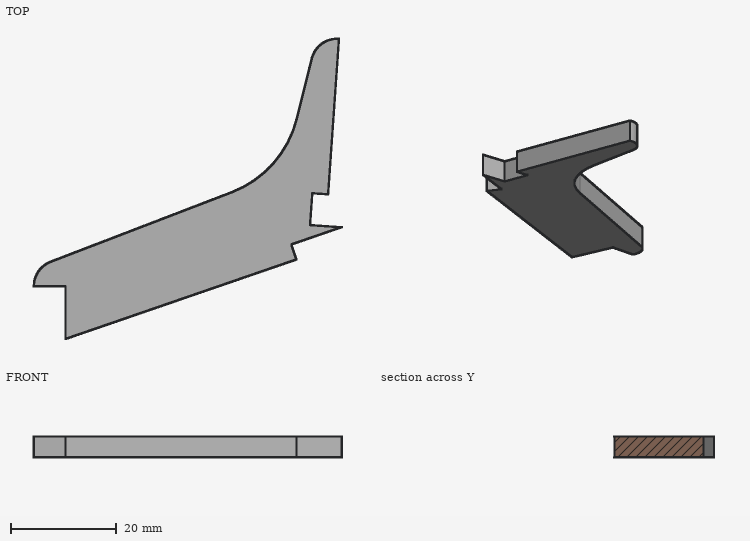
import cadquery as cq
import math

thickness = 4.0
heel_tab = 6.0
heel_depth = 10.0
base_angle = 19.0
base_length = 46.28
step_depth = 3.0
spike_length = 10.1
edge_lean = 4.0
slot_width = 6.0
slot_depth = 3.0
spike_overhang = 6.0
outer_edge_length = 29.57
tip_radius = 5.0
inner_bend_radius = 20.0
lower_arm_angle = 21.0
upright_arm_angle = 76.0


def direction(angle):
    """Unit vector at an angle in degrees from +X."""
    return cq.Vector(math.cos(math.radians(angle)), math.sin(math.radians(angle)))


def arc_point(center, radius, angle):
    """Point on a circle at an angle in degrees from +X."""
    return center + direction(angle) * radius


def bend_center(lower_tip, upright_tip):
    """Center of the bend tangent to the inner edges of both arms."""
    offset = tip_radius + inner_bend_radius
    lower_start = lower_tip + direction(lower_arm_angle + 90) * offset
    upright_start = upright_tip + direction(upright_arm_angle + 90) * offset
    lower_way = direction(lower_arm_angle)
    upright_way = direction(upright_arm_angle)
    gap = upright_start - lower_start
    travel = gap.cross(upright_way).z / lower_way.cross(upright_way).z
    return lower_start + lower_way * travel


def make_profile():
    along_base = direction(base_angle)
    along_edge = direction(90 - edge_lean)
    out_of_edge = direction(-edge_lean)

    notch_corner = cq.Vector(0, 0)
    heel = cq.Vector(0, -heel_depth)
    base_end = heel + along_base * base_length
    step_corner = base_end + direction(base_angle + 90) * step_depth
    spike_point = step_corner + along_base * spike_length

    slot_bottom = spike_point - out_of_edge * spike_overhang
    slot_top = slot_bottom + along_edge * slot_width
    edge_start = slot_top + out_of_edge * slot_depth
    edge_end = edge_start + along_edge * outer_edge_length

    upright_tip = edge_end - along_edge * tip_radius
    tab_end = cq.Vector(-heel_tab, 0)
    lower_tip = tab_end + cq.Vector(tip_radius, 0)
    bend = bend_center(lower_tip, upright_tip)
    lower_normal = lower_arm_angle + 90
    upright_normal = upright_arm_angle + 90
    upright_tip_middle = (90 - edge_lean + upright_normal) / 2
    bend_middle = (lower_normal + upright_normal) / 2 + 180
    lower_tip_middle = (lower_normal + 180) / 2

    return (
        cq.Workplane("XY")
        .polyline([notch_corner, heel, base_end, step_corner, spike_point,
                   slot_bottom, slot_top, edge_start, edge_end])
        .threePointArc(arc_point(upright_tip, tip_radius, upright_tip_middle),
                       arc_point(upright_tip, tip_radius, upright_normal))
        .lineTo(*arc_point(bend, inner_bend_radius, upright_normal + 180).toTuple()[:2])
        .threePointArc(arc_point(bend, inner_bend_radius, bend_middle),
                       arc_point(bend, inner_bend_radius, lower_normal + 180))
        .lineTo(*arc_point(lower_tip, tip_radius, lower_normal).toTuple()[:2])
        .threePointArc(arc_point(lower_tip, tip_radius, lower_tip_middle), tab_end)
        .close()
    )


result = make_profile().extrude(thickness)